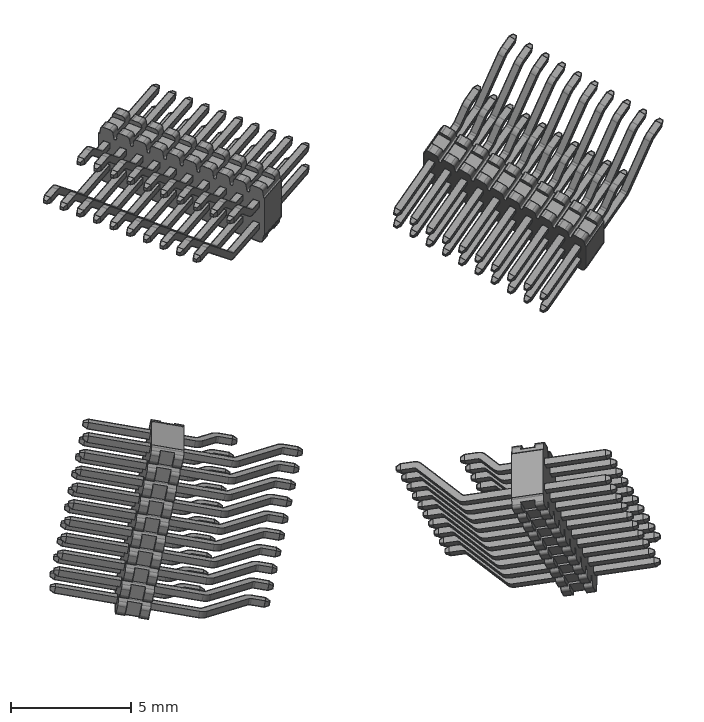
import cadquery as cq
import math


PIN_COUNT = 10
PITCH = 0.8
ROW_SPACING = 1.21

BAR_LENGTH = PIN_COUNT * PITCH
BAR_DEPTH = 1.37
BAR_HEIGHT = 3.0
CHANNEL_WIDTH = 0.6
CHANNEL_DEPTH = 0.23

NOTCH_DEPTH = 0.45
NOTCH_ROOT_RADIUS = 0.06
NOTCH_FLANK_ANGLE = math.radians(8.5)
LOBE_CORNER_RADIUS = 0.16

PIN_THICKNESS = 0.31
TIP_LENGTH = 0.2
TIP_THICKNESS = 0.16
INNER_BEND_RADIUS = 0.14
OUTER_BEND_RADIUS = INNER_BEND_RADIUS + PIN_THICKNESS
BEND_ANGLE = math.radians(45)
TOTAL_DEPTH = 9.28
REAR_REACH = 2.83
ROW_REACH_STEP = 2.775
FRONT_REACH_LOWER = TOTAL_DEPTH - REAR_REACH - BAR_DEPTH
FRONT_REACH_UPPER = FRONT_REACH_LOWER - ROW_REACH_STEP
FOOT_LENGTH = 0.91
FOOT_Z = (BAR_HEIGHT - PIN_THICKNESS) / 2


def make_notch():
    """Notch opening upward at the top of the bar, centred on x = 0, flaring out into the lobe corners."""
    top = BAR_HEIGHT / 2
    sin_flank = math.sin(NOTCH_FLANK_ANGLE)
    cos_flank = math.cos(NOTCH_FLANK_ANGLE)
    root_z = top - NOTCH_DEPTH
    flank_low_x = NOTCH_ROOT_RADIUS * cos_flank
    flank_low_z = root_z + NOTCH_ROOT_RADIUS * (1 - sin_flank)
    flank_high_z = top - LOBE_CORNER_RADIUS * (1 - sin_flank)
    flank_high_x = flank_low_x + (flank_high_z - flank_low_z) * math.tan(NOTCH_FLANK_ANGLE)
    mouth_x = flank_high_x + LOBE_CORNER_RADIUS * cos_flank
    corner_z = top - LOBE_CORNER_RADIUS

    mid_angle = (math.pi / 2 + NOTCH_FLANK_ANGLE) / 2
    mid_x = mouth_x - LOBE_CORNER_RADIUS * math.cos(mid_angle)
    mid_z = corner_z + LOBE_CORNER_RADIUS * math.sin(mid_angle)

    return (
        cq.Workplane("XZ")
        .moveTo(-mouth_x, top)
        .threePointArc((-mid_x, mid_z), (-flank_high_x, flank_high_z))
        .lineTo(-flank_low_x, flank_low_z)
        .threePointArc((0, root_z), (flank_low_x, flank_low_z))
        .lineTo(flank_high_x, flank_high_z)
        .threePointArc((mid_x, mid_z), (mouth_x, top))
        .close()
        .extrude(BAR_DEPTH / 2, both=True)
    )


def make_bar():
    bar = cq.Workplane("XY").box(BAR_LENGTH, BAR_DEPTH, BAR_HEIGHT)
    upper_notch = make_notch()
    lower_notch = upper_notch.mirror("XY")
    for i in range(PIN_COUNT + 1):
        x = i * PITCH - BAR_LENGTH / 2
        bar = bar.cut(upper_notch.translate((x, 0, 0)))
        bar = bar.cut(lower_notch.translate((x, 0, 0)))
    channel = cq.Workplane("XY").box(BAR_LENGTH, CHANNEL_WIDTH, CHANNEL_DEPTH)
    channel_z = (BAR_HEIGHT - CHANNEL_DEPTH) / 2
    for z in (-channel_z, channel_z):
        bar = bar.cut(channel.translate((0, 0, z)))
    return bar


def make_tip(y, z, direction):
    """Tapered pin end starting at (y, z); direction is +1 toward +Y or -1 toward -Y."""
    return (
        cq.Workplane(cq.Plane(origin=(0, y, z), xDir=(1, 0, 0), normal=(0, direction, 0)))
        .rect(PIN_THICKNESS, PIN_THICKNESS)
        .workplane(offset=TIP_LENGTH)
        .rect(TIP_THICKNESS, TIP_THICKNESS)
        .loft(ruled=True)
    )


def make_pin(row_z, front_reach):
    """Pin at x = 0: straight through the bar, then sloping up to a horizontal foot."""
    rear_y = BAR_DEPTH / 2 + REAR_REACH - TIP_LENGTH
    front_y = -BAR_DEPTH / 2 - front_reach + TIP_LENGTH
    foot_corner_y = -BAR_DEPTH / 2 - front_reach + FOOT_LENGTH
    row_corner_y = foot_corner_y + (FOOT_Z - row_z) / math.tan(BEND_ANGLE)

    half = PIN_THICKNESS / 2
    miter = half * math.tan(BEND_ANGLE / 2)
    row_upper = (row_corner_y + miter, row_z + half)
    row_lower = (row_corner_y - miter, row_z - half)
    foot_upper = (foot_corner_y + miter, FOOT_Z + half)
    foot_lower = (foot_corner_y - miter, FOOT_Z - half)
    upper_side = [(rear_y, row_z + half), row_upper, foot_upper, (front_y, FOOT_Z + half)]
    lower_side = [(front_y, FOOT_Z - half), foot_lower, row_lower, (rear_y, row_z - half)]
    shank = (
        cq.Workplane("YZ")
        .polyline(upper_side + lower_side)
        .close()
        .extrude(half, both=True)
    )
    bends = [
        (row_upper, INNER_BEND_RADIUS),
        (row_lower, OUTER_BEND_RADIUS),
        (foot_upper, OUTER_BEND_RADIUS),
        (foot_lower, INNER_BEND_RADIUS),
    ]
    for (y, z), radius in bends:
        shank = shank.edges(cq.NearestToPointSelector((0, y, z))).fillet(radius)
    return shank.union(make_tip(rear_y, row_z, 1)).union(make_tip(front_y, FOOT_Z, -1))


result = make_bar()
upper_pin = make_pin(ROW_SPACING / 2, FRONT_REACH_UPPER)
lower_pin = make_pin(-ROW_SPACING / 2, FRONT_REACH_LOWER)
for i in range(PIN_COUNT):
    pin_x = (i + 0.5) * PITCH - BAR_LENGTH / 2
    result = result.union(upper_pin.translate((pin_x, 0, 0)))
    result = result.union(lower_pin.translate((pin_x, 0, 0)))